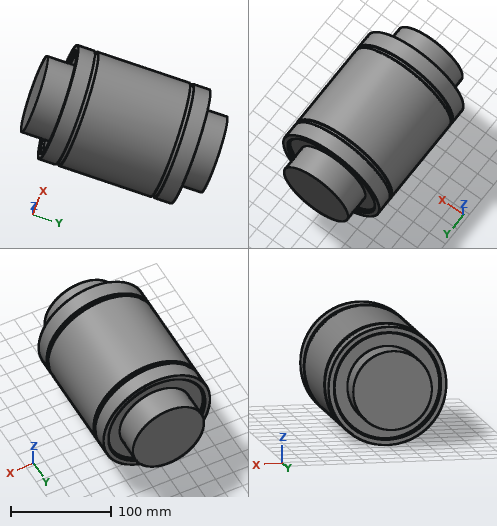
import cadquery as cq

shaft_diameter = 80.0
shaft_length = 190.0
sleeve_diameter = 120.0
sleeve_length = 139.8
groove_diameter = 116.0
groove_width = 4.0
groove_inset = 17.5
rim_chamfer = 0.2
recess_diameter = 107.0
recess_depth = 3.6
recess_chamfer = 1.1


def cylinder(diameter, length, center_y=0.0):
    """Cylinder along Y, centred at center_y."""
    start = cq.Workplane("XZ", origin=(0, center_y + length / 2, 0))
    return start.circle(diameter / 2).extrude(length)


def ring_groove(center_y):
    """Ring cut from the outside of the sleeve."""
    outer = cylinder(sleeve_diameter + 2 * groove_width, groove_width, center_y)
    return outer.cut(cylinder(groove_diameter, groove_width, center_y))


def end_recess(side):
    """Shallow round recess with a bevelled mouth in one end of the sleeve."""
    end = sleeve_length / 2
    radius = recess_diameter / 2
    profile = [
        (0, side * (end - recess_depth)),
        (radius, side * (end - recess_depth)),
        (radius, side * (end - recess_chamfer)),
        (radius + recess_chamfer, side * end),
        (0, side * end),
    ]
    return cq.Workplane("XY").polyline(profile).close().revolve(360, (0, 0), (0, 1))


sleeve = cylinder(sleeve_diameter, sleeve_length).faces("<Y or >Y").chamfer(rim_chamfer)
groove_offset = sleeve_length / 2 - groove_inset - groove_width / 2
for side in (-1, 1):
    sleeve = sleeve.cut(ring_groove(side * groove_offset))
    sleeve = sleeve.cut(end_recess(side))

result = sleeve.union(cylinder(shaft_diameter, shaft_length))